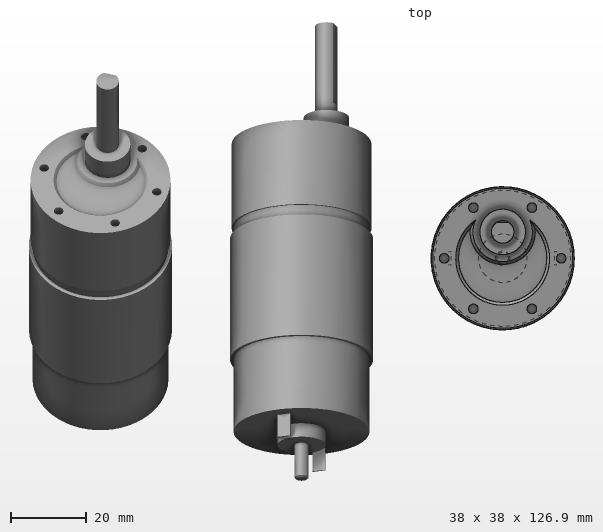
import cadquery as cq

TAB_BOTTOM = 7.1
REAR_BOSS_BOTTOM = 9.5
MOTOR_BOTTOM = 13.3
SLEEVE_BOTTOM = 33.6
SLEEVE_TOP = 67.6
GEARBOX_BOTTOM = 70.7
GEARBOX_TOP = 94.4
FRONT_BOSS_TOP = 101.0
SHAFT_TOP = 126.9

MOTOR_DIAMETER = 36.0
SLEEVE_DIAMETER = 38.0
NECK_DIAMETER = 36.0
GEARBOX_DIAMETER = 37.0

REAR_BOSS_DIAMETER = 12.8
REAR_SHAFT_DIAMETER = 3.8
REAR_SHAFT_CHAMFER = 0.4
TAB_THICKNESS = 0.5
TAB_WIDTH = 3.5
TAB_OFFSET = 14.0

OUTPUT_OFFSET = 7.0
FRONT_BOSS_DIAMETER = 12.0
OUTPUT_SHAFT_DIAMETER = 6.0
FLAT_DEPTH = 0.5
FLAT_BOTTOM = 104.3

HOLE_COUNT = 6
HOLE_CIRCLE_DIAMETER = 31.0
HOLE_DIAMETER = 2.5
HOLE_DEPTH = 3.0

RECESS_RADIUS = 12.4
ISLAND_TOP_RADIUS = 7.9
RECESS_DEPTH = 0.8
WALL_RUN = 0.8


def cylinder(diameter, bottom, top, y=0.0):
    """Vertical cylinder between two heights, centred on X = 0."""
    return cq.Workplane("XY", origin=(0, y, bottom)).circle(diameter / 2).extrude(top - bottom)


def cone(bottom_radius, top_radius, y=0.0):
    """Truncated cone spanning the depth of the face recess."""
    solid = cq.Solid.makeCone(
        bottom_radius, top_radius, RECESS_DEPTH, pnt=cq.Vector(0, y, GEARBOX_TOP - RECESS_DEPTH)
    )
    return cq.Workplane(obj=solid)


def make_body():
    body = cylinder(MOTOR_DIAMETER, MOTOR_BOTTOM, SLEEVE_BOTTOM)
    body = body.union(cylinder(SLEEVE_DIAMETER, SLEEVE_BOTTOM, SLEEVE_TOP))
    body = body.union(cylinder(NECK_DIAMETER, SLEEVE_TOP, GEARBOX_BOTTOM))
    return body.union(cylinder(GEARBOX_DIAMETER, GEARBOX_BOTTOM, GEARBOX_TOP))


def make_recess():
    pocket = cone(RECESS_RADIUS - WALL_RUN, RECESS_RADIUS)
    island = cone(ISLAND_TOP_RADIUS + WALL_RUN, ISLAND_TOP_RADIUS, OUTPUT_OFFSET)
    return pocket.cut(island)


def make_mounting_holes():
    return (
        cq.Workplane("XY", origin=(0, 0, GEARBOX_TOP - HOLE_DEPTH))
        .polarArray(HOLE_CIRCLE_DIAMETER / 2, 0, 360, HOLE_COUNT)
        .circle(HOLE_DIAMETER / 2)
        .extrude(HOLE_DEPTH)
    )


def make_output_shaft():
    boss = cylinder(FRONT_BOSS_DIAMETER, GEARBOX_TOP, FRONT_BOSS_TOP, OUTPUT_OFFSET)
    shaft = cylinder(OUTPUT_SHAFT_DIAMETER, FRONT_BOSS_TOP, SHAFT_TOP, OUTPUT_OFFSET)
    flat_y = OUTPUT_OFFSET + OUTPUT_SHAFT_DIAMETER / 2 - FLAT_DEPTH
    flat_cut = (
        cq.Workplane("XY", origin=(0, flat_y, FLAT_BOTTOM))
        .rect(OUTPUT_SHAFT_DIAMETER, 2 * FLAT_DEPTH)
        .extrude(SHAFT_TOP - FLAT_BOTTOM)
        .translate((0, FLAT_DEPTH, 0))
    )
    return boss.union(shaft.cut(flat_cut))


def make_rear_end():
    boss = cylinder(REAR_BOSS_DIAMETER, REAR_BOSS_BOTTOM, MOTOR_BOTTOM)
    shaft = cylinder(REAR_SHAFT_DIAMETER, 0, REAR_BOSS_BOTTOM)
    shaft = shaft.faces("<Z").chamfer(REAR_SHAFT_CHAMFER)
    tabs = (
        cq.Workplane("XY", origin=(0, 0, TAB_BOTTOM))
        .pushPoints([(-TAB_OFFSET, 0), (TAB_OFFSET, 0)])
        .rect(TAB_THICKNESS, TAB_WIDTH)
        .extrude(MOTOR_BOTTOM - TAB_BOTTOM)
    )
    return boss.union(shaft).union(tabs)


result = (
    make_body()
    .cut(make_recess())
    .cut(make_mounting_holes())
    .union(make_output_shaft())
    .union(make_rear_end())
)